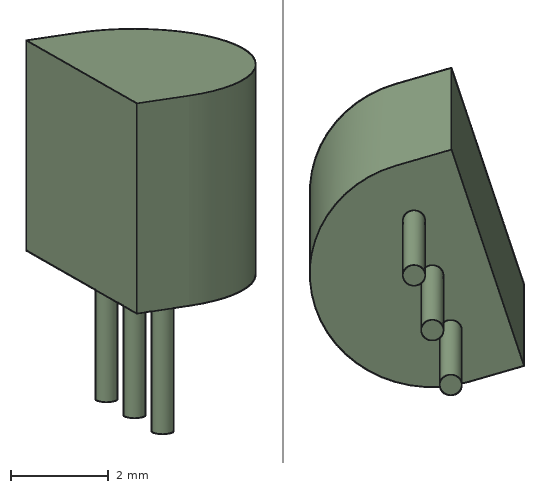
import cadquery as cq

housing_width = 5.0
housing_height = 4.5
flat_side_depth = 1.2
pin_diameter = 0.46
pin_length = 3.0
pin_pitch = 1.27
pin_count = 3
pin_row_offset = 0.04

housing_radius = housing_width / 2


def make_housing():
    """D-shaped housing standing on Z = 0, with the axis of its round back on the Z axis."""
    return (
        cq.Workplane("XY")
        .moveTo(-housing_radius, -flat_side_depth)
        .lineTo(housing_radius, -flat_side_depth)
        .lineTo(housing_radius, 0)
        .threePointArc((0, housing_radius), (-housing_radius, 0))
        .close()
        .extrude(housing_height)
    )


def make_pin(x):
    """Round pin hanging from the underside of the housing at the given X."""
    return cq.Workplane("XY").center(x, 0).circle(pin_diameter / 2).extrude(-pin_length)


housing = make_housing()

first_pin_x = pin_row_offset - pin_pitch * (pin_count - 1) / 2
pins = [make_pin(first_pin_x + index * pin_pitch) for index in range(pin_count)]

result = cq.Compound.makeCompound([housing.val(), *[pin.val() for pin in pins]])